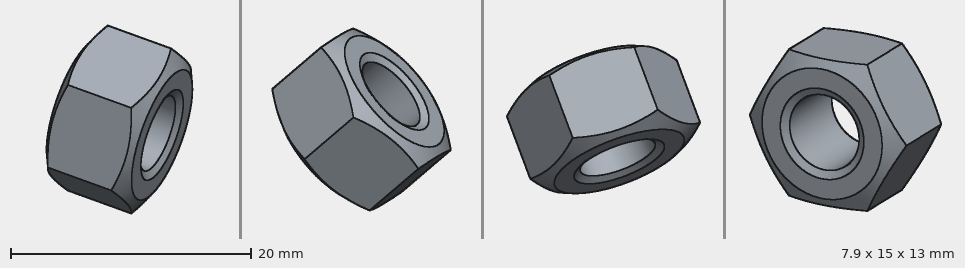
import cadquery as cq
import math

thickness = 7.9
side_count = 6
across_flats = 13.0
bore_diameter = 6.65
countersink_diameter = 8.0
countersink_half_angle = 60.0
face_diameter = 11.5
corner_chamfer_angle = 30.0
corner_clearance = 1.0

across_corners = across_flats / math.cos(math.pi / side_count)
bore_radius = bore_diameter / 2
countersink_radius = countersink_diameter / 2
face_radius = face_diameter / 2
outer_radius = across_corners / 2 + corner_clearance


def hexagonal_bar():
    """Hexagonal prism with corners on the Y axis and flats facing +Z and -Z."""
    return cq.Workplane("YZ").polygon(side_count, across_corners).extrude(thickness)


def revolved_envelope():
    """Ring whose faces form the bore, its countersinks and the conical corner chamfers."""
    countersink_depth = (countersink_radius - bore_radius) / math.tan(math.radians(countersink_half_angle))
    chamfer_depth = (outer_radius - face_radius) * math.tan(math.radians(corner_chamfer_angle))
    profile = [
        (countersink_depth, bore_radius),
        (0, countersink_radius),
        (0, face_radius),
        (chamfer_depth, outer_radius),
        (thickness - chamfer_depth, outer_radius),
        (thickness, face_radius),
        (thickness, countersink_radius),
        (thickness - countersink_depth, bore_radius),
    ]
    axis_start = (0, 0)
    axis_end = (thickness, 0)
    return cq.Workplane("XY").polyline(profile).close().revolve(360, axis_start, axis_end)


result = hexagonal_bar().intersect(revolved_envelope())